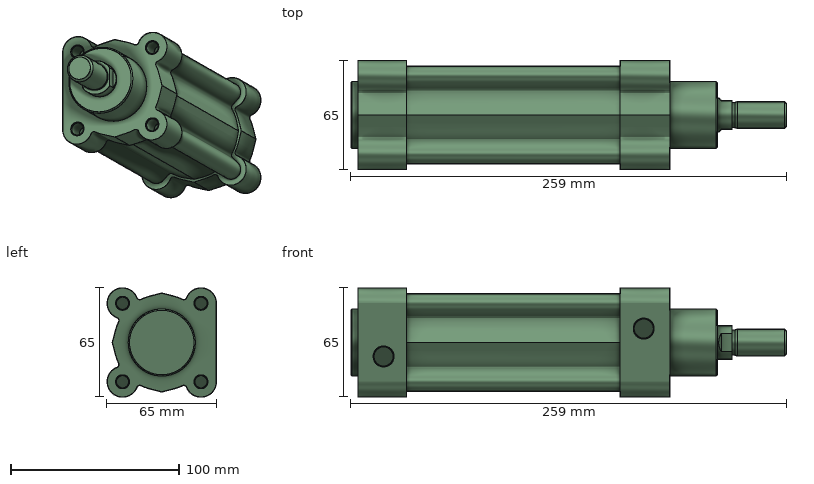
import cadquery as cq
import math


rear_boss_length = 4.1
rear_cap_end = 33.2
barrel_end = 160.0
front_cap_end = 189.5
collar_end = 217.8
flats_end = 226.5
neck_end = 228.2
thread_start = 229.7
rod_end = 259.0

overall_width = 65.0
corner_offset = 23.3
overlap = 2.5

lug_radius = overall_width / 2 - corner_offset
cap_body_radius = 28.5
cap_ridge_half_width = 7.3
cap_notch_fillet = 1.8
boss_radius = 20.0
boss_chamfer = 0.8
mounting_hole_radius = 3.5
mounting_hole_depth = 15.5
mounting_hole_chamfer = 0.5
port_radius = 5.7
port_depth = 15.5
port_chamfer = 0.5
port_height = 8.3
rear_port_x = 19.5
front_port_x = 174.0

barrel_body_radius = 27.2
barrel_ridge_half_width = 5.2
barrel_notch_fillet = 2.0
tie_rod_tube_radius = 5.7

rod_radius = 10.0
flat_offset = 8.5
flats_start = 220.2
neck_radius = 7.5
thread_radius = 8.0
thread_chamfer = 1.3

corner_points = [(sy * corner_offset, sz * corner_offset) for sy in (-1, 1) for sz in (-1, 1)]


def section_plane(x):
    """Plane across the axis at x, with local axes Y and Z and its normal along +X."""
    return cq.Workplane("YZ", origin=(x, 0, 0))


def cylinder(x_start, x_end, radius):
    return section_plane(x_start).circle(radius).extrude(x_end - x_start)


def ridged_body(x_start, x_end, radius, ridge_half_width):
    """Round bar with a shallow ridge on four sides, whose flanks run tangent into the round."""
    ridge_angle = math.asin(ridge_half_width / radius)
    tangent_height = radius * math.cos(ridge_angle)
    crest_height = radius / math.cos(ridge_angle)
    ridge = (
        section_plane(x_start)
        .polyline([
            (0, 0),
            (ridge_half_width, tangent_height),
            (0, crest_height),
            (-ridge_half_width, tangent_height),
        ])
        .close()
        .extrude(x_end - x_start)
    )
    body = cylinder(x_start, x_end, radius)
    for quarter in range(4):
        body = body.union(ridge.rotate((0, 0, 0), (1, 0, 0), 90 * quarter))
    return body


def fillet_notches(body, body_radius, ridge_half_width, fillet_radius):
    """Round the inner edges where the corner features meet the round of the body."""
    tolerance = 0.03

    def is_notch_edge(edge):
        center = edge.Center()
        on_round = abs(math.hypot(center.y, center.z) - body_radius) < tolerance
        beside_ridge = min(abs(center.y), abs(center.z)) > ridge_half_width + tolerance
        return on_round and beside_ridge

    return body.edges("|X").filter(is_notch_edge).fillet(fillet_radius)


def cap_block(x_start, x_end):
    """End cap block: ridged body, four corner lugs and a flat port face on the -Y side."""
    length = x_end - x_start
    block = ridged_body(x_start, x_end, cap_body_radius, cap_ridge_half_width)
    lugs = section_plane(x_start).pushPoints(corner_points).circle(lug_radius).extrude(length)
    port_side = cq.Workplane("XY").box(
        length, overall_width / 2, 2 * corner_offset, centered=(False, False, True)
    ).translate((x_start, -overall_width / 2, 0))
    block = block.union(lugs).union(port_side)
    return fillet_notches(block, cap_body_radius, cap_ridge_half_width, cap_notch_fillet)


def blind_hole(plane, radius, depth, chamfer):
    """Cutter for a hole with a 45 degree mouth; the plane's normal points out of the material."""
    bore = plane.circle(radius).extrude(-depth)
    mouth = plane.circle(radius + chamfer).extrude(-chamfer, taper=45)
    return bore.union(mouth)


def mounting_holes(face_x, outward):
    """Four corner hole cutters in a cap's outer face; outward is the X direction it faces."""
    cutters = cq.Workplane("XY")
    for y, z in corner_points:
        plane = cq.Plane(origin=(face_x, y, z), xDir=(0, 1, 0), normal=(outward, 0, 0))
        cutters = cutters.union(blind_hole(
            cq.Workplane(plane), mounting_hole_radius, mounting_hole_depth, mounting_hole_chamfer
        ))
    return cutters


def port(x, z):
    """Air port cutter in the -Y face."""
    plane = cq.Workplane("XZ", origin=(x, -overall_width / 2, z))
    return blind_hole(plane, port_radius, port_depth, port_chamfer)


def make_rear_cap():
    boss = cylinder(0, rear_cap_end, boss_radius).faces("<X").chamfer(boss_chamfer)
    cap = cap_block(rear_boss_length, rear_cap_end).union(boss)
    return cap.cut(mounting_holes(rear_boss_length, -1)).cut(port(rear_port_x, -port_height))


def make_barrel():
    """Ridged body with round-ended diagonal webs that carry the four tie-rod tubes."""
    length = barrel_end - rear_cap_end
    barrel = ridged_body(rear_cap_end, barrel_end, barrel_body_radius, barrel_ridge_half_width)
    web_width = 2 * tie_rod_tube_radius
    web_span = 2 * math.hypot(corner_offset, corner_offset) + web_width
    for angle in (45, 135):
        web = section_plane(rear_cap_end).slot2D(web_span, web_width, angle).extrude(length)
        barrel = barrel.union(web)
    return fillet_notches(barrel, barrel_body_radius, barrel_ridge_half_width, barrel_notch_fillet)


def make_front_cap():
    collar = cylinder(barrel_end, collar_end, boss_radius).faces(">X").chamfer(boss_chamfer)
    cap = cap_block(barrel_end, front_cap_end).union(collar)
    cap = cap.cut(mounting_holes(front_cap_end, 1)).cut(port(front_port_x, port_height))
    return cap.cut(cylinder(barrel_end, collar_end, rod_radius))


def make_rod():
    """Rod through the front cap, with two wrench flats, a neck and a threaded end.

    Each flat starts in a 45 degree slope.
    """
    rod = (
        cq.Workplane("XY")
        .polyline([
            (barrel_end, 0),
            (barrel_end, rod_radius),
            (flats_end, rod_radius),
            (flats_end, neck_radius),
            (neck_end, neck_radius),
            (thread_start, thread_radius),
            (rod_end - thread_chamfer, thread_radius),
            (rod_end, thread_radius - thread_chamfer),
            (rod_end, 0),
        ])
        .close()
        .revolve(360, (0, 0, 0), (1, 0, 0))
    )
    cutter_top = rod_radius + overlap
    flat_cut = (
        cq.Workplane("XY")
        .polyline([
            (flats_start, flat_offset),
            (flats_start - (cutter_top - flat_offset), cutter_top),
            (flats_end, cutter_top),
            (flats_end, flat_offset),
        ])
        .close()
        .extrude(rod_radius, both=True)
    )
    return rod.cut(flat_cut).cut(flat_cut.mirror("XZ"))


rear_cap = make_rear_cap()
barrel = make_barrel()
front_cap = make_front_cap()
rod = make_rod()

result = cq.Compound.makeCompound([rear_cap.val(), barrel.val(), front_cap.val(), rod.val()])